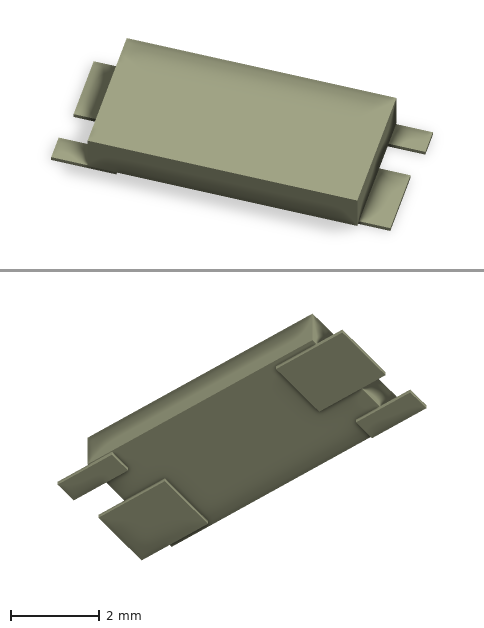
import cadquery as cq

overall_length = 8.11
body_length = 6.375
body_width = 3.18
overall_height = 0.99
lead_thickness = 0.1
body_height = overall_height - lead_thickness

narrow_length = 1.54
narrow_width = 0.61
narrow_side_inset = 0.025
wide_length = 1.88
wide_width = 1.64
wide_side_inset = 0.15
wide_tip_inset = 0.13

END_ANGLES = (0, 180)


def make_body():
    """Plain rectangular package resting on the leads."""
    return (
        cq.Workplane("XY")
        .workplane(offset=lead_thickness)
        .rect(body_length, body_width)
        .extrude(body_height)
    )


def make_lead(length, width, x_min, y_min, angle):
    """Flat lead with its lower-left corner given, turned about Z to its end."""
    return (
        cq.Workplane("XY")
        .box(length, width, lead_thickness, centered=False)
        .translate((x_min, y_min, 0))
        .rotate((0, 0, 0), (0, 0, 1), angle)
    )


def make_narrow_lead(angle):
    """Narrow lead, beside the -Y side of the -X end before turning."""
    x_min = -overall_length / 2
    y_min = -body_width / 2 + narrow_side_inset
    return make_lead(narrow_length, narrow_width, x_min, y_min, angle)


def make_wide_lead(angle):
    """Wide lead, beside the +Y side of the -X end before turning."""
    x_min = -overall_length / 2 + wide_tip_inset
    y_min = body_width / 2 - wide_side_inset - wide_width
    return make_lead(wide_length, wide_width, x_min, y_min, angle)


body = make_body()
narrow_leads = [make_narrow_lead(angle).val() for angle in END_ANGLES]
wide_leads = [make_wide_lead(angle).val() for angle in END_ANGLES]

result = cq.Compound.makeCompound([body.val(), *narrow_leads, *wide_leads])